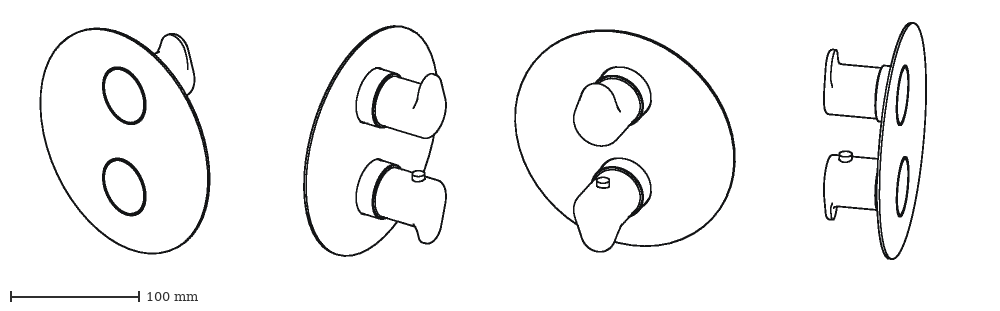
import cadquery as cq
import math

PLATE_DIAMETER = 185.0
PLATE_THICKNESS = 2.0
CONTROL_OFFSET = 40.0

SLEEVE_RADIUS = 22.0
SLEEVE_CLEARANCE = 0.4
RECESS_RADIUS = 23.5
RECESS_DEPTH = 0.5

SLEEVE_LENGTH = 17.5
SLEEVE_CHAMFER = 0.5

KNOB_GAP = 0.5
KNOB_START = SLEEVE_LENGTH + KNOB_GAP
KNOB_END = 59.4
KNOB_RADIUS = 20.0
KNOB_EDGE_FILLET = 2.8
LEVER_THICKNESS = 5.0
LEVER_START = KNOB_END - LEVER_THICKNESS
LEVER_TIP_RADIUS = 13.9
LEVER_REACH = 33.0
NECK_FILLET = 3.9

BUTTON_RADIUS = 5.0
BUTTON_TOP = 24.0
BUTTON_Y = 45.5


def disc(radius, start, end, height=0.0):
    """Cylinder along +Y between two Y positions, with its axis at the given Z."""
    axis_start = cq.Vector(0, start, height)
    return cq.Workplane(cq.Solid.makeCylinder(radius, end - start, axis_start, cq.Vector(0, 1, 0)))


def make_plate():
    plate = disc(PLATE_DIAMETER / 2, 0, PLATE_THICKNESS)
    for height in (-CONTROL_OFFSET, CONTROL_OFFSET):
        plate = plate.cut(disc(SLEEVE_RADIUS + SLEEVE_CLEARANCE, 0, PLATE_THICKNESS, height))
        plate = plate.cut(disc(RECESS_RADIUS, 0, RECESS_DEPTH, height))
    return plate


def make_sleeve(height):
    return disc(SLEEVE_RADIUS, 0, SLEEVE_LENGTH, height).faces(">Y").edges().chamfer(SLEEVE_CHAMFER)


def lever_prism(start, end):
    """Grip circle and lever tip circle joined by two straight tangent flanks."""
    tip_z = LEVER_REACH - LEVER_TIP_RADIUS
    sine = (KNOB_RADIUS - LEVER_TIP_RADIUS) / tip_z
    cosine = math.sqrt(1 - sine**2)
    grip_x, grip_z = KNOB_RADIUS * cosine, KNOB_RADIUS * sine
    flank_x = LEVER_TIP_RADIUS * cosine
    flank_z = tip_z + LEVER_TIP_RADIUS * sine
    return (
        cq.Workplane("XZ", origin=(0, start, 0))
        .moveTo(-grip_x, grip_z)
        .threePointArc((0, -KNOB_RADIUS), (grip_x, grip_z))
        .lineTo(flank_x, flank_z)
        .threePointArc((0, LEVER_REACH), (-flank_x, flank_z))
        .close()
        .extrude(start - end)
    )


def make_neck():
    """Concave flare from the grip to the lever, trimmed to the lever outline."""
    flare_start = LEVER_START - NECK_FILLET
    flare_radius = KNOB_RADIUS + NECK_FILLET
    arc_inset = NECK_FILLET * math.sqrt(0.5)
    flare = (
        cq.Workplane("XY")
        .moveTo(0, flare_start)
        .lineTo(KNOB_RADIUS, flare_start)
        .threePointArc(
            (flare_radius - arc_inset, flare_start + arc_inset),
            (flare_radius, LEVER_START),
        )
        .lineTo(0, LEVER_START)
        .close()
        .revolve(360, (0, 0, 0), (0, 1, 0))
    )
    return flare.intersect(lever_prism(flare_start, LEVER_START))


def make_knob():
    """Knob on the Y axis with its lever pointing up."""
    lever = lever_prism(LEVER_START, KNOB_END).faces(">Y").edges().fillet(KNOB_EDGE_FILLET)
    return disc(KNOB_RADIUS, KNOB_START, LEVER_START).union(make_neck()).union(lever)


def make_lower_knob():
    """Knob with its lever pointing down and a stop button on top."""
    button = cq.Workplane("XY", origin=(0, BUTTON_Y, 0)).circle(BUTTON_RADIUS).extrude(BUTTON_TOP)
    return make_knob().rotate((0, 0, 0), (0, 1, 0), 180).union(button)


plate = make_plate()
sleeves = [make_sleeve(height) for height in (-CONTROL_OFFSET, CONTROL_OFFSET)]
upper_knob = make_knob().translate((0, 0, CONTROL_OFFSET))
lower_knob = make_lower_knob().translate((0, 0, -CONTROL_OFFSET))

result = cq.Compound.makeCompound(
    [plate.val(), *[sleeve.val() for sleeve in sleeves], upper_knob.val(), lower_knob.val()]
)